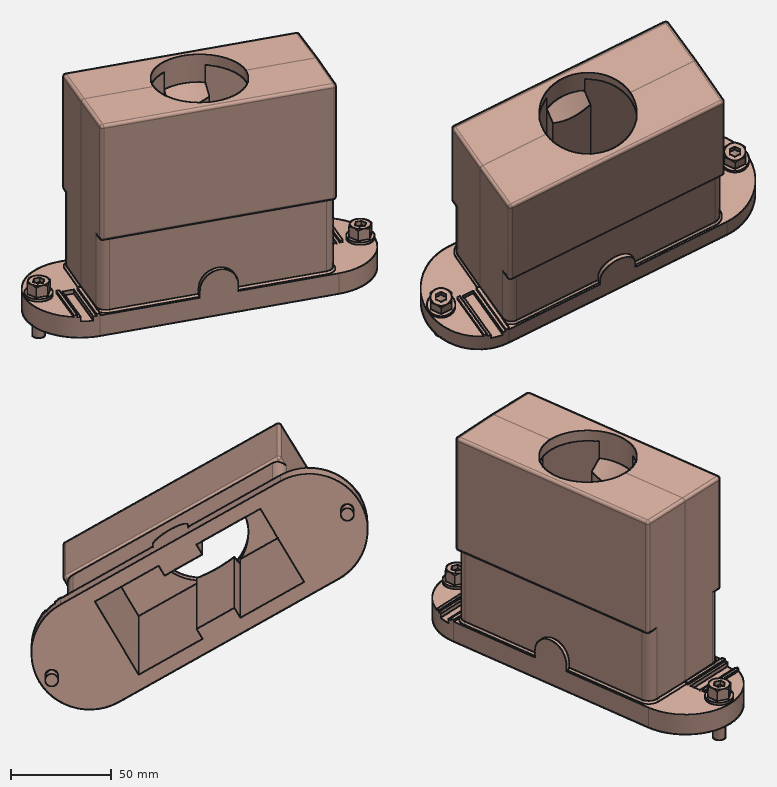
import cadquery as cq
import math

PLATE_LENGTH = 184.0
PLATE_WIDTH = 58.0
PLATE_THICKNESS = 11.8

HOOD_TOP = 119.8
HOOD_LENGTH = 125.1
DRAFT_DEGREES = 0.5
UPPER_WIDTH = 56.7
UPPER_BOTTOM = 53.4
UPPER_FILLET = 1.7
LOWER_WIDTH = 53.5
LOWER_CORNER_RADIUS = 5.2

STEP_HEIGHT = 1.1
PLATFORM_END = 64.5
GROOVE_START = 66.2
GROOVE_END = 72.3
GROOVE_DEPTH = 2.4
RIB_START = 74.0
RIB_END = 75.6

LUG_RADIUS = 10.1
LUG_CENTRE_Z = 15.8

CAVITY_WIDTH = 43.5
CAVITY_LENGTH = 95.0
ROOF_THICKNESS = 6.3
INNER_RIB_WIDTH = 21.7
INNER_RIB_GAP = 31.6
BORE_RADIUS = 24.3
BORE_CONE_TOP = 103.8

SCREW_Y = 84.8
WASHER_DIAMETER = 14.2
WASHER_BOTTOM = 12.3
WASHER_RIM_TOP = 13.8
WASHER_TOP = 14.0
HEX_FLATS = 10.5
HEAD_TOP = 20.5
SOCKET_FLATS = 5.2
SOCKET_DEPTH = 5.2
NECK_DIAMETER = 5.0
NECK_BOTTOM = -1.7
THREAD_DIAMETER = 6.5
THREAD_CHAMFER = 1.0
SCREW_BOTTOM = -10.7

DRAFT_SLOPE = math.tan(math.radians(DRAFT_DEGREES))
STEP_TOP = PLATE_THICKNESS + STEP_HEIGHT
NECK_RADIUS = NECK_DIAMETER / 2
SCREW_PLACES = [(0, -SCREW_Y), (0, SCREW_Y)]


def box(x_range, y_range, z_range):
    """Axis-aligned box between the given limits."""
    corner = (x_range[0], y_range[0], z_range[0])
    size = [high - low for low, high in (x_range, y_range, z_range)]
    return cq.Workplane("XY").box(*size, centered=False).translate(corner)


def turned(shape, degrees):
    """The shape turned about the Z axis."""
    return shape.rotate((0, 0, 0), (0, 0, 1), degrees)


def revolved(profile):
    """Solid of revolution about the Z axis from (radius, height) points."""
    return cq.Workplane("XZ").polyline(profile).close().revolve(360, (0, 0, 0), (0, 1, 0))


def hexagon_corner_radius(flats):
    return flats / 2 / math.cos(math.radians(30))


def hexagon(flats, bottom, top):
    """Hexagonal prism with two corners on the Y axis."""
    prism = cq.Workplane("XY").polygon(6, 2 * hexagon_corner_radius(flats)).extrude(top - bottom)
    return turned(prism, 30).translate((0, 0, bottom))


def hood_plan(width, bottom):
    """Hood outline whose two ends slope back slightly from the centre line."""
    half_width = width / 2
    centre_y = HOOD_LENGTH / 2
    side_y = centre_y - half_width * DRAFT_SLOPE
    return cq.Workplane("XY", origin=(0, 0, bottom)).polyline([
        (0, -centre_y),
        (half_width, -side_y),
        (half_width, side_y),
        (0, centre_y),
        (-half_width, side_y),
        (-half_width, -side_y),
    ]).close()


def make_upper_block():
    """Upper block with every outer edge rounded; its roof slopes slightly from the centre line."""
    half_width = UPPER_WIDTH / 2
    roofed_half = cq.Workplane("XZ").polyline([
        (0, UPPER_BOTTOM),
        (half_width, UPPER_BOTTOM),
        (half_width, HOOD_TOP - half_width * DRAFT_SLOPE),
        (0, HOOD_TOP),
    ]).close().extrude(HOOD_LENGTH, both=True)
    full_block = hood_plan(UPPER_WIDTH, UPPER_BOTTOM).extrude(HOOD_TOP - UPPER_BOTTOM)
    half_block = full_block.intersect(roofed_half)
    side_edges = half_block.faces(">X").edges()
    end_edges = half_block.edges("(not |Y) and (not |Z)")
    half_block = side_edges.add(end_edges).fillet(UPPER_FILLET)
    return half_block.union(half_block.mirror("YZ"))


def make_lower_tower():
    tower = hood_plan(LOWER_WIDTH, 0).extrude(UPPER_BOTTOM + UPPER_FILLET)
    return tower.edges("|Z").edges("<X or >X").fillet(LOWER_CORNER_RADIUS)


def make_foot(lower_tower):
    """Sloped skirt where the lower tower meets the plate."""
    tower_outline = lower_tower.faces("<Z").wires().val()
    skirt_outline = tower_outline.offset2D(STEP_HEIGHT)[0].translate(cq.Vector(0, 0, PLATE_THICKNESS))
    return cq.Workplane("XY").newObject([skirt_outline]).toPending().extrude(STEP_HEIGHT, taper=45)


def plate_blank(thickness):
    return cq.Workplane("XY").slot2D(PLATE_LENGTH, PLATE_WIDTH, 90).extrude(thickness)


def make_plate():
    """Round-ended plate with a raised platform, a groove and a rib across half of each end."""
    plate = plate_blank(PLATE_THICKNESS)
    half = (-PLATE_WIDTH / 2, 0)
    platform = box(half, (HOOD_LENGTH / 2, PLATFORM_END), (0, STEP_TOP))
    rib = box(half, (RIB_START, RIB_END), (0, STEP_TOP))
    groove = box(half, (GROOVE_START, GROOVE_END), (PLATE_THICKNESS - GROOVE_DEPTH, STEP_TOP))
    for turn in (0, 180):
        for raised in (platform, rib):
            plate = plate.union(plate_blank(STEP_TOP).intersect(turned(raised, turn)))
        plate = plate.cut(turned(groove, turn))
    return plate


def make_lugs():
    """Round-topped lugs flush with the long sides of the plate, as one bar across it."""
    return (
        cq.Workplane("YZ", origin=(-PLATE_WIDTH / 2, 0, 0))
        .moveTo(-LUG_RADIUS, 0)
        .lineTo(-LUG_RADIUS, LUG_CENTRE_Z)
        .threePointArc((0, LUG_CENTRE_Z + LUG_RADIUS), (LUG_RADIUS, LUG_CENTRE_Z))
        .lineTo(LUG_RADIUS, 0)
        .close()
        .extrude(PLATE_WIDTH)
    )


def make_cavity():
    """Inside of the hood, open below, with a rib left standing on each long wall."""
    cavity_top = HOOD_TOP - ROOF_THICKNESS
    cavity = cq.Workplane("XY").rect(CAVITY_WIDTH, CAVITY_LENGTH).extrude(cavity_top)
    half_rib = INNER_RIB_WIDTH / 2
    rib = box((INNER_RIB_GAP / 2, CAVITY_WIDTH / 2), (-half_rib, half_rib), (0, cavity_top))
    for turn in (0, 180):
        cavity = cavity.cut(turned(rib, turn))
    return cavity


def make_bore():
    """Cable entry from the top with a 45 degree conical bottom."""
    return revolved([
        (0, BORE_CONE_TOP - BORE_RADIUS),
        (BORE_RADIUS, BORE_CONE_TOP),
        (BORE_RADIUS, HOOD_TOP),
        (0, HOOD_TOP),
    ])


def make_housing():
    """Plate and hood in one piece, hollowed out, with a hole for each screw neck."""
    lower_tower = make_lower_tower()
    housing = make_plate().union(make_foot(lower_tower)).union(lower_tower)
    housing = housing.union(make_upper_block()).union(make_lugs())
    housing = housing.cut(make_cavity()).cut(make_bore())
    screw_holes = cq.Workplane("XY").pushPoints(SCREW_PLACES).circle(NECK_RADIUS).extrude(STEP_TOP)
    return housing.cut(screw_holes)


def make_washer(place):
    """Washer whose top rises in a shallow cone to the screw head."""
    washer = revolved([
        (NECK_RADIUS, WASHER_BOTTOM),
        (WASHER_DIAMETER / 2, WASHER_BOTTOM),
        (WASHER_DIAMETER / 2, WASHER_RIM_TOP),
        (HEX_FLATS / 2, WASHER_TOP),
        (NECK_RADIUS, WASHER_TOP),
    ])
    return washer.translate((*place, 0))


def make_head():
    """Hexagon head with chamfered top corners and a cone-bottomed hexagon socket."""
    chamfer_cone = revolved([
        (0, WASHER_TOP),
        (HEX_FLATS / 2 + HEAD_TOP - WASHER_TOP, WASHER_TOP),
        (HEX_FLATS / 2, HEAD_TOP),
        (0, HEAD_TOP),
    ])
    socket_tip = HEAD_TOP - SOCKET_DEPTH
    socket_radius = hexagon_corner_radius(SOCKET_FLATS)
    socket_cone = revolved([
        (0, socket_tip),
        (socket_radius, socket_tip + socket_radius),
        (socket_radius, HEAD_TOP),
        (0, HEAD_TOP),
    ])
    socket = hexagon(SOCKET_FLATS, socket_tip, HEAD_TOP).intersect(socket_cone)
    return hexagon(HEX_FLATS, WASHER_TOP, HEAD_TOP).intersect(chamfer_cone).cut(socket)


def make_screw(place):
    """Hexagon screw with a plain neck and a thicker end."""
    shank = revolved([
        (0, WASHER_TOP),
        (NECK_RADIUS, WASHER_TOP),
        (NECK_RADIUS, NECK_BOTTOM),
        (THREAD_DIAMETER / 2, NECK_BOTTOM - THREAD_CHAMFER),
        (THREAD_DIAMETER / 2, SCREW_BOTTOM),
        (0, SCREW_BOTTOM),
    ])
    return make_head().union(shank).translate((*place, 0))


housing = make_housing()
washers = [make_washer(place) for place in SCREW_PLACES]
screws = [make_screw(place) for place in SCREW_PLACES]
result = cq.Compound.makeCompound([
    housing.val(),
    *[washer.val() for washer in washers],
    *[screw.val() for screw in screws],
])